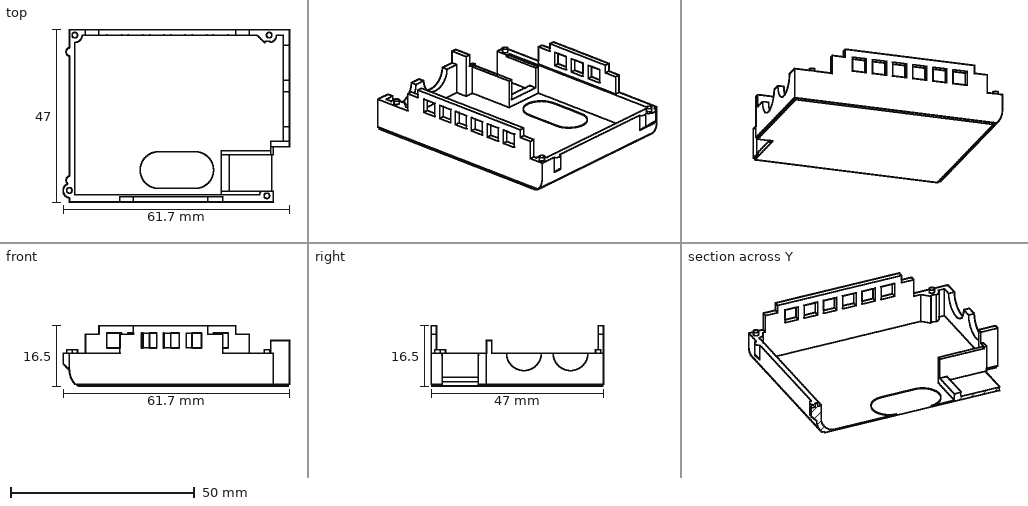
import cadquery as cq
import math


length = 60.0
width = 47.0
rim_z = 9.0
wall = 1.5
front_wall = 2.0
right_wall = 1.75

plate = 0.5
inset_x = 0.4
inset_y = 0.2
floor_z = plate

step_x = 55.6
step_y = 15.05
step_wall_x = 54.85
lip_top_z = 12.5

edge_radius = 5.67
edge_centre_z = 4.45
inner_radius = edge_radius - wall
inner_centre_z = floor_z + inner_radius

pin_radius = 0.75
pin_height = 1.0
post_radius = 2.0
back_left_pin = (wall, width - wall)
back_right_pin = (54.45, width - wall)
front_right_pin = (53.8, 1.75)
front_left_pin = (0.0, 3.2)
outer_post_centre = (0.3, 3.15)

web_start_x = 51.1
web_tip = (53.2, 43.5)
scallop_radius = 1.15
scallop_centre = (54.07, 42.75)

bump_radius = 1.2
bump_centre_x = 0.3
bump_ys = (40.95, 5.97)

tab_top_z = 16.5
tab_shoulder_z = 14.2
back_tab_x = (4.35, 49.05)
back_tab_upper_x = (8.05, 45.35)
front_tab_x = (13.75, 41.85)
front_tab_upper_x = (17.45, 37.7)
window_z = 10.45
window_height = 4.0
back_windows = 6
back_window_x = 10.25
back_window_pitch = 5.8
back_window_width = 4.0
front_windows = 3
front_window_x = 19.6
front_window_pitch = 6.1
front_window_width = 4.2

cable_radius = 4.75
cable_ys = (38.0, 25.3)

bay_x = 41.45
bay_y = (3.05, 12.9)
bay_floor_z = 1.2
bay_stop_x = 43.6
bay_stop_z = 2.5
bay_rib = 1.1
bay_rib_z = 8.5
front_rib_end_x = 52.5

recess_centre = (29.3, 8.75)
recess_length = 20.0
recess_width = 10.0
recess_depth = 0.2


def box(x, y, z):
    """Box from (low, high) pairs along each axis."""
    return (
        cq.Workplane("XY")
        .box(x[1] - x[0], y[1] - y[0], z[1] - z[0], centered=False)
        .translate((x[0], y[0], z[0]))
    )


def rod(centre, radius, z):
    """Vertical cylinder between the two heights in z."""
    return cq.Workplane("XY", origin=(*centre, z[0])).circle(radius).extrude(z[1] - z[0])


def stepped_prism(x, y, corner, z):
    """Rectangular prism that lacks its +X, -Y corner up to the point `corner`."""
    points = [
        (x[0], y[0]),
        (corner[0], y[0]),
        corner,
        (x[1], corner[1]),
        (x[1], y[1]),
        (x[0], y[1]),
    ]
    return cq.Workplane("XY", origin=(0, 0, z[0])).polyline(points).close().extrude(z[1] - z[0])


def rounded_prism(left, radius, centre_z, bottom):
    """Prism along Y whose left side curves inwards from centre_z down to bottom."""

    def on_arc(z):
        return (left + radius - math.sqrt(radius**2 - (centre_z - z) ** 2), z)

    return (
        cq.Workplane("XZ", origin=(0, width, 0))
        .moveTo(left, rim_z)
        .lineTo(left, centre_z)
        .threePointArc(on_arc((bottom + centre_z) / 2), on_arc(bottom))
        .lineTo(length, bottom)
        .lineTo(length, rim_z)
        .close()
        .extrude(width)
    )


def make_walls_block():
    """Solid block inside the outer wall faces, from the plate to the rim."""
    block = stepped_prism((0, length), (0, width), (step_x, step_y), (plate, rim_z))
    return block.intersect(rounded_prism(0, edge_radius, edge_centre_z, 0))


def make_base_plate():
    base = stepped_prism(
        (0, length - inset_x),
        (inset_y, width - inset_y),
        (step_x - inset_x, step_y + inset_y),
        (0, plate),
    )
    return base.intersect(rounded_prism(inset_x, edge_radius, edge_centre_z, 0))


def make_cavity():
    cavity = stepped_prism(
        (wall, length - right_wall),
        (front_wall, width - wall),
        (step_wall_x, step_y + wall),
        (floor_z, rim_z),
    )
    return cavity.intersect(rounded_prism(wall, inner_radius, inner_centre_z, floor_z))


def make_inner_posts():
    heights = (floor_z, rim_z)
    web = (
        cq.Workplane("XY", origin=(0, 0, floor_z))
        .polyline([(web_start_x, width - wall), web_tip, back_right_pin])
        .close()
        .extrude(rim_z - floor_z)
    )
    posts = rod(back_right_pin, post_radius, heights).union(web)
    posts = posts.cut(rod(scallop_centre, scallop_radius, heights))
    for pin in (back_left_pin, front_right_pin):
        posts = posts.union(rod(pin, post_radius, heights))
    return posts.intersect(make_walls_block())


def make_outer_bumps():
    """Post and bumps outside the left wall, cut off below by a 45 degree plane."""
    bumps = rod(outer_post_centre, post_radius, (0, rim_z))
    for y in bump_ys:
        bumps = bumps.union(rod((bump_centre_x, y), bump_radius, (0, rim_z)))
    reach = rim_z - edge_centre_z
    above_slope = (
        cq.Workplane("XZ", origin=(0, width, 0))
        .polyline([
            (0, edge_centre_z),
            (-reach, rim_z),
            (wall, rim_z),
            (wall, edge_centre_z),
        ])
        .close()
        .extrude(width)
    )
    return bumps.intersect(above_slope)


def make_tab(x, upper_x, y, first_window_x, pitch, window_width, count):
    """Stepped tab above the rim with a row of rectangular windows."""
    tab = box(x, y, (rim_z, tab_shoulder_z)).union(box(upper_x, y, (rim_z, tab_top_z)))
    for i in range(count):
        start = first_window_x + i * pitch
        tab = tab.cut(box((start, start + window_width), y, (window_z, window_z + window_height)))
    return tab


def make_bay():
    """Raised floor, end stop and side ribs of the connector bay."""
    back_rib_y = (bay_y[1], bay_y[1] + bay_rib)
    front_rib_y = (front_wall, bay_y[0])
    bay = box((bay_x, step_x - inset_x), bay_y, (floor_z, bay_floor_z))
    bay = bay.union(box((bay_x, bay_stop_x), bay_y, (floor_z, bay_stop_z)))
    bay = bay.union(box((bay_x, step_wall_x), back_rib_y, (floor_z, bay_rib_z)))
    bay = bay.union(box((bay_x, front_rib_end_x), front_rib_y, (floor_z, bay_rib_z)))
    return bay.union(box((front_rib_end_x, step_x), front_rib_y, (floor_z, rim_z)))


def make_cable_cutouts():
    return (
        cq.Workplane("YZ", origin=(length - right_wall, 0, rim_z))
        .pushPoints([(y, 0) for y in cable_ys])
        .circle(cable_radius)
        .extrude(right_wall)
    )


def make_recess():
    return (
        cq.Workplane("XY", origin=(*recess_centre, floor_z - recess_depth))
        .slot2D(recess_length, recess_width)
        .extrude(recess_depth)
    )


case = make_walls_block().union(make_base_plate()).cut(make_cavity())
case = case.union(make_inner_posts())

case = case.cut(box((bay_x, step_x), bay_y, (floor_z, rim_z)))
case = case.union(make_bay())

case = case.union(make_outer_bumps())
case = case.union(box((step_wall_x, length), (step_y, step_y + wall), (rim_z, lip_top_z)))

case = case.union(make_tab(
    back_tab_x, back_tab_upper_x, (width - wall, width),
    back_window_x, back_window_pitch, back_window_width, back_windows,
))
case = case.union(make_tab(
    front_tab_x, front_tab_upper_x, (0, wall),
    front_window_x, front_window_pitch, front_window_width, front_windows,
))

for pin_centre in (back_left_pin, back_right_pin, front_right_pin, front_left_pin):
    case = case.union(rod(pin_centre, pin_radius, (rim_z, rim_z + pin_height)))

result = case.cut(make_cable_cutouts()).cut(make_recess())